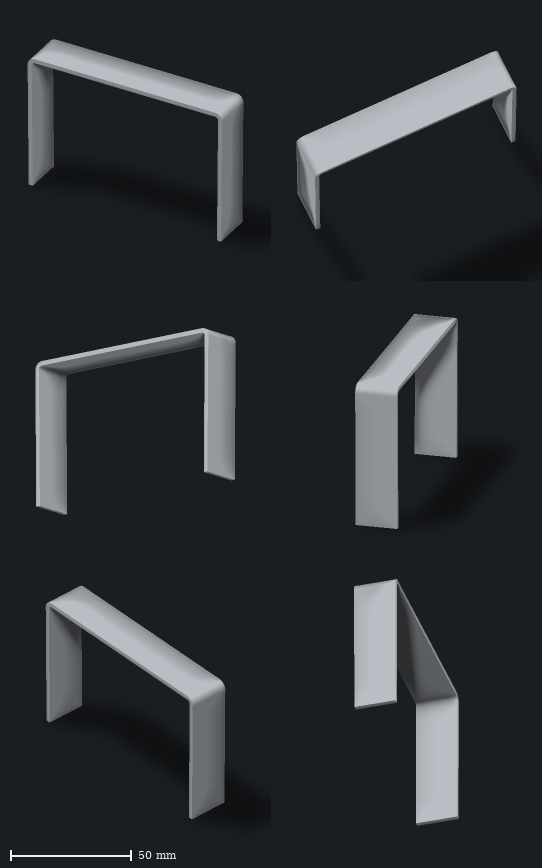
import cadquery as cq
import math

length = 93.0
width = 18.0
height = 62.05

thickness = 2.0
outer_radius = 3.5
inner_radius = outer_radius - thickness
leg_lean = math.radians(0.5)

bend_x = length / 2 - outer_radius
bend_z = height - outer_radius


def bend_point(radius, angle):
    """Point on the right-hand bend, with the angle measured up from +X."""
    return (bend_x + radius * math.cos(angle), bend_z + radius * math.sin(angle))


def leg_foot(radius):
    """Point at Z = 0 on the leg face tangent to the bend of this radius."""
    start_x, start_z = bend_point(radius, -leg_lean)
    return (start_x - start_z * math.tan(leg_lean), 0)


middle_of_bend = math.radians(45)
half_strip = (
    cq.Workplane("XZ")
    .moveTo(0, height)
    .lineTo(bend_x, height)
    .threePointArc(bend_point(outer_radius, middle_of_bend), bend_point(outer_radius, -leg_lean))
    .lineTo(*leg_foot(outer_radius))
    .lineTo(*leg_foot(inner_radius))
    .lineTo(*bend_point(inner_radius, -leg_lean))
    .threePointArc(bend_point(inner_radius, middle_of_bend), (bend_x, height - thickness))
    .lineTo(0, height - thickness)
    .close()
    .extrude(width / 2, both=True)
)

result = half_strip.union(half_strip.mirror("YZ")).clean()